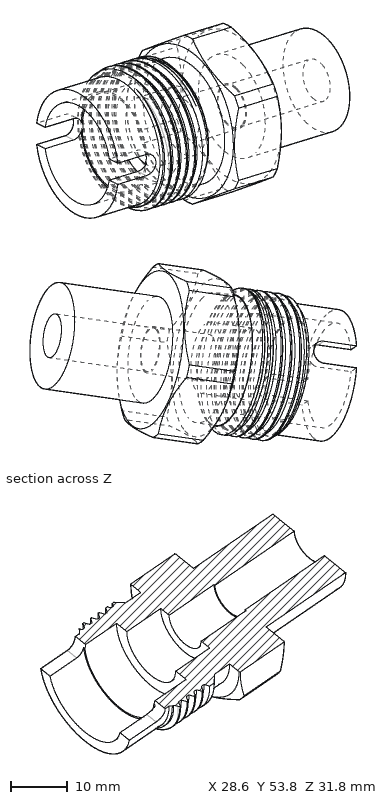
import cadquery as cq
import math

INCH = 25.4

LENGTH = 2.12 * INCH
STEM_LENGTH = 0.75 * INCH
HEX_BACK = LENGTH - STEM_LENGTH
HEX_LENGTH = 0.425 * INCH
HEX_FRONT = HEX_BACK - HEX_LENGTH
THREAD_FRONT = 9.36
THREAD_BACK = 0.80 * INCH

STEM_DIAMETER = 0.75 * INCH
NOSE_DIAMETER = 23.5
NECK_DIAMETER = 23.25
THREAD_DIAMETER = 26.2

HEX_HALF_ANGLE = 180 / 6
HEX_FLATS = 1.125 * INCH
HEX_CORNER_DIAMETER = 1.25 * INCH
HEX_FACE_DIAMETER = 28.2
HEX_CHAMFER_ANGLE = 30.0

PITCH = INCH / 14
ROOT_RADIUS = 12.15
GROOVE_ROOT_WIDTH = 0.55
FLANK_ANGLE = 27.5
GROOVE_OVERCUT = 0.15
GROOVE_TURNS = 5
RUNOUT_TURNS = 0.75
GROOVE_END = 17.54

BORE_STEPS = [
    (18.7, 0.325 * INCH),
    (18.05, 0.625 * INCH),
    (0.5 * INCH, HEX_FRONT),
    (8.3, HEX_BACK),
    (7.8, LENGTH),
]

SLOT_WIDTH = 0.16 * INCH
SLOT_DEPTH = 0.332 * INCH


def cylinder(diameter, start, end):
    """Cylinder on the Y axis between two stations."""
    return cq.Workplane("XZ", origin=(0, end, 0)).circle(diameter / 2).extrude(end - start)


def make_turned_body():
    """Nose, chamfered thread blank, neck and stem turned in one piece."""
    nose_radius = NOSE_DIAMETER / 2
    thread_radius = THREAD_DIAMETER / 2
    neck_radius = NECK_DIAMETER / 2
    stem_radius = STEM_DIAMETER / 2
    chamfer = thread_radius - nose_radius
    return (
        cq.Workplane("YZ")
        .moveTo(0, 0)
        .lineTo(0, nose_radius)
        .lineTo(THREAD_FRONT, nose_radius)
        .lineTo(THREAD_FRONT + chamfer, thread_radius)
        .lineTo(THREAD_BACK - chamfer, thread_radius)
        .lineTo(THREAD_BACK, nose_radius)
        .lineTo(THREAD_BACK, neck_radius)
        .lineTo(HEX_BACK, neck_radius)
        .lineTo(HEX_BACK, stem_radius)
        .lineTo(LENGTH, stem_radius)
        .lineTo(LENGTH, 0)
        .close()
        .revolve(360, (0, 0, 0), (1, 0, 0))
    )


def make_hexagon():
    """Hexagonal wrench section, trimmed by a cylinder with a conical chamfer at each face."""
    across_corners = HEX_FLATS / math.cos(math.radians(HEX_HALF_ANGLE))
    prism = (
        cq.Workplane("XZ", origin=(0, HEX_BACK, 0))
        .transformed(rotate=(0, 0, HEX_HALF_ANGLE))
        .polygon(6, across_corners)
        .extrude(HEX_LENGTH)
    )
    corner_radius = HEX_CORNER_DIAMETER / 2
    face_radius = HEX_FACE_DIAMETER / 2
    chamfer_length = (corner_radius - face_radius) * math.tan(math.radians(HEX_CHAMFER_ANGLE))
    envelope = (
        cq.Workplane("YZ")
        .moveTo(HEX_FRONT, 0)
        .lineTo(HEX_FRONT, face_radius)
        .lineTo(HEX_FRONT + chamfer_length, corner_radius)
        .lineTo(HEX_BACK - chamfer_length, corner_radius)
        .lineTo(HEX_BACK, face_radius)
        .lineTo(HEX_BACK, 0)
        .close()
        .revolve(360, (0, 0, 0), (1, 0, 0))
    )
    return prism.intersect(envelope)


def sweep_groove(path):
    """Groove cutter swept along a helix that climbs the Z axis from the +X side."""
    top_radius = THREAD_DIAMETER / 2 + GROOVE_OVERCUT
    half_root = GROOVE_ROOT_WIDTH / 2
    half_top = half_root + (top_radius - ROOT_RADIUS) * math.tan(math.radians(FLANK_ANGLE))
    return (
        cq.Workplane("XZ")
        .moveTo(ROOT_RADIUS, -half_root)
        .lineTo(ROOT_RADIUS, half_root)
        .lineTo(top_radius, half_top)
        .lineTo(top_radius, -half_top)
        .close()
        .sweep(cq.Workplane(path), isFrenet=True)
    )


def place_groove(cutter, start):
    """Turn a cutter from the Z axis to the Y axis so that it starts at the bottom, at a given Y."""
    along_y = cutter.rotate((0, 0, 0), (1, 0, 0), -90)
    from_bottom = along_y.rotate((0, 0, 0), (0, 1, 0), 90)
    return from_bottom.translate((0, start, 0))


def cut_thread(body):
    """Cut the full-depth groove, then the run-out that rises to the crest behind it."""
    groove_length = GROOVE_TURNS * PITCH
    groove_path = cq.Wire.makeHelix(PITCH, groove_length, ROOT_RADIUS)
    groove = place_groove(sweep_groove(groove_path), GROOVE_END - groove_length)

    runout_length = RUNOUT_TURNS * PITCH
    runout_rise = THREAD_DIAMETER / 2 + GROOVE_OVERCUT - ROOT_RADIUS
    runout_angle = math.atan2(runout_rise, runout_length)
    slope = 1 / math.cos(runout_angle)
    runout_path = cq.Wire.makeHelix(
        PITCH * slope, runout_length * slope, ROOT_RADIUS, angle=math.degrees(runout_angle)
    )
    runout = place_groove(sweep_groove(runout_path), GROOVE_END)
    return body.cut(groove).cut(runout)


def cut_bore(body):
    """Cut the stepped bore that runs through the whole part."""
    start = 0
    for diameter, end in BORE_STEPS:
        body = body.cut(cylinder(diameter, start, end))
        start = end
    return body


def cut_slot(body):
    """Cut the round-ended slot through both walls of the nose."""
    half_width = SLOT_WIDTH / 2
    slot = (
        cq.Workplane("YZ")
        .moveTo(0, -half_width)
        .lineTo(SLOT_DEPTH - half_width, -half_width)
        .threePointArc((SLOT_DEPTH, 0), (SLOT_DEPTH - half_width, half_width))
        .lineTo(0, half_width)
        .close()
        .extrude(NOSE_DIAMETER / 2, both=True)
    )
    return body.cut(slot)


threaded_body = cut_thread(make_turned_body())
result = cut_slot(cut_bore(threaded_body.union(make_hexagon())))